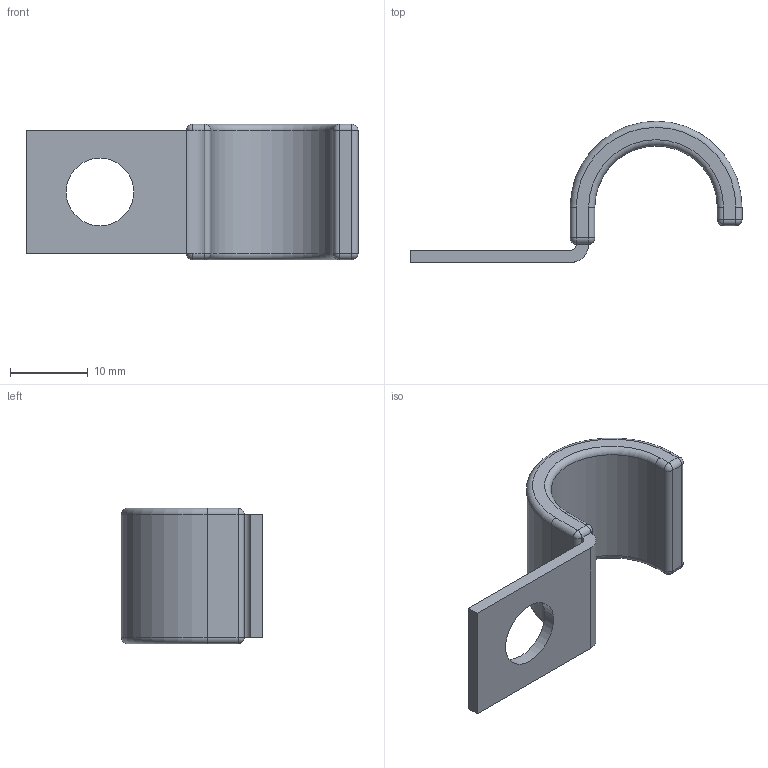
import cadquery as cq


strap_thickness = 1.5875
strap_width = 15.875
cushion_cover = 0.79375
bore_radius = 7.9
long_leg = 4.7625
short_leg = 2.38125
bend_inner_radius = 0.79375
overall_length = 42.8
hole_diameter = 8.73125
hole_to_tab_end = 9.525

cushion_thickness = strap_thickness + 2 * cushion_cover
cushion_width = strap_width + 2 * cushion_cover
outer_radius = bore_radius + cushion_thickness
strap_inner_radius = bore_radius + cushion_cover
strap_outer_radius = strap_inner_radius + strap_thickness
bend_outer_radius = bend_inner_radius + strap_thickness
tab_end_x = outer_radius - overall_length
bend_centre_x = -strap_outer_radius - bend_inner_radius
tab_back_y = -long_leg - bend_inner_radius
tab_front_y = tab_back_y - strap_thickness
strap_start_y = -long_leg / 2


def make_cushion():
    """Hook-shaped liner with every sharp edge rounded."""
    hook = (
        cq.Workplane("XY")
        .workplane(offset=-cushion_width / 2)
        .moveTo(-outer_radius, -long_leg)
        .lineTo(-outer_radius, 0)
        .threePointArc((0, outer_radius), (outer_radius, 0))
        .lineTo(outer_radius, -short_leg)
        .lineTo(bore_radius, -short_leg)
        .lineTo(bore_radius, 0)
        .threePointArc((0, bore_radius), (-bore_radius, 0))
        .lineTo(-bore_radius, -long_leg)
        .close()
        .extrude(cushion_width)
    )
    return hook.faces("|Z or |Y").edges().fillet(cushion_cover)


def make_strap():
    """Flat mounting tab that bends up into the long leg of the liner."""
    return (
        cq.Workplane("XY")
        .workplane(offset=-strap_width / 2)
        .moveTo(tab_end_x, tab_front_y)
        .lineTo(bend_centre_x, tab_front_y)
        .radiusArc((-strap_inner_radius, -long_leg), -bend_outer_radius)
        .lineTo(-strap_inner_radius, strap_start_y)
        .lineTo(-strap_outer_radius, strap_start_y)
        .lineTo(-strap_outer_radius, -long_leg)
        .radiusArc((bend_centre_x, tab_back_y), bend_inner_radius)
        .lineTo(tab_end_x, tab_back_y)
        .close()
        .extrude(strap_width)
    )


def make_screw_hole():
    """Cutter for the screw hole through the tab."""
    return (
        cq.Workplane("XZ", origin=(tab_end_x + hole_to_tab_end, tab_back_y, 0))
        .circle(hole_diameter / 2)
        .extrude(strap_thickness)
    )


strap = make_strap().cut(make_screw_hole())
result = make_cushion().union(strap)